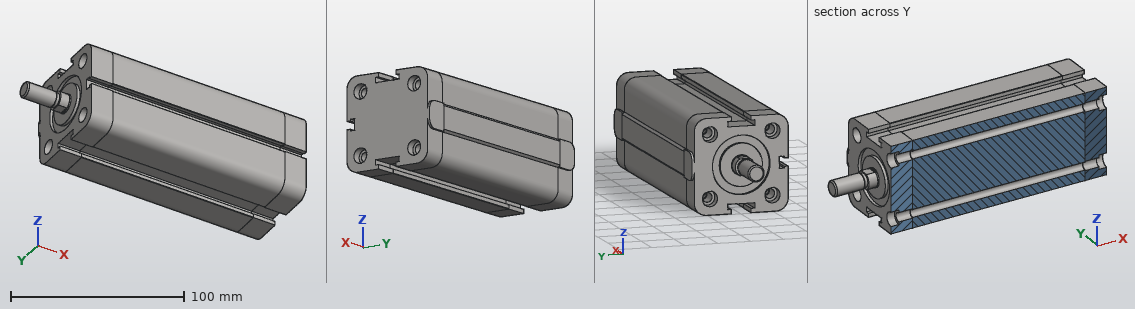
import cadquery as cq

TOTAL_LENGTH = 174.0
BODY_SIDE = 57.0
BODY_HEIGHT = 58.5
BODY_LENGTH = 145.6
CAP_LENGTH = 14.6
CORNER_RADIUS = 7.5

HALF_SIDE = BODY_SIDE / 2
BODY_FRONT = TOTAL_LENGTH - BODY_LENGTH
TUBE_FRONT = BODY_FRONT + CAP_LENGTH
TUBE_LENGTH = BODY_LENGTH - 2 * CAP_LENGTH
TUBE_BACK = TUBE_FRONT + TUBE_LENGTH

LARGE_OPENING = 12.0
LARGE_WIDTH = 16.4
LARGE_DEPTH = 5.7
LARGE_LIP = 2.6
SMALL_OPENING = 4.9
SMALL_WIDTH = 7.0
SMALL_DEPTH = 5.4
SMALL_LIP = 2.5
TUBE_WIDENING = 0.2
MOUTH_CHAMFER = 0.26

RAIL_HEIGHT = BODY_HEIGHT - BODY_SIDE
RAIL_WIDTH = 16.7
RAIL_CORNER = 5.2

BOLT_SPACING = 38.0
BOLT_HEAD_DIAMETER = 9.0
BOLT_HEAD_DEPTH = 5.2
CAP_HOLE_DIAMETER = 5.7
TUBE_HOLE_DIAMETER = 4.9

GROOVE_OUTER = 35.0
GROOVE_INNER = 25.5
GROOVE_DEPTH = 2.0

ROD_DIAMETER = 12.0
WRENCH_DIAMETER = 11.7
FLATS_ACROSS = 10.0
THREAD_DIAMETER = 10.0
NECK_DIAMETER = 8.9
THREAD_LENGTH = 19.5
NECK_LENGTH = 2.1
FLATS_END = 27.1
COLLAR_END = 27.5
TIP_CHAMFER = 0.9


def x_plane(x):
    """Plane across the cylinder at x: local x is Y, local y is Z, and the normal is +X."""
    return cq.Workplane("YZ", origin=(x, 0, 0))


def t_slot(x, length, opening, width, depth, lip):
    """T-slot cutter that opens through the +Z face."""
    mouth = x_plane(x).center(0, HALF_SIDE - depth / 2).rect(opening, depth).extrude(length)
    pocket_height = depth - lip
    pocket = x_plane(x).center(0, HALF_SIDE - depth + pocket_height / 2).rect(width, pocket_height)
    return mouth.union(pocket.extrude(length))


def mouth_chamfer(x, length, opening):
    """Cutter that breaks both outer edges of a slot mouth in the +Z face."""
    half_opening = opening / 2
    outline = x_plane(x).moveTo(-half_opening - MOUTH_CHAMFER, HALF_SIDE)
    outline = outline.lineTo(half_opening + MOUTH_CHAMFER, HALF_SIDE)
    outline = outline.lineTo(half_opening, HALF_SIDE - MOUTH_CHAMFER)
    outline = outline.lineTo(-half_opening, HALF_SIDE - MOUTH_CHAMFER)
    return outline.close().extrude(length)


def cut_slots(section, large, small):
    """Cut the large slot from the +Z and -Z faces and the small one from the -Y face."""
    for cutter, angle in ((large, 0), (large, 180), (small, 90)):
        section = section.cut(cutter.rotate((0, 0, 0), (1, 0, 0), angle))
    return section


def bolt_holes(x, length, diameter):
    """Four round cutters on the bolt square."""
    pattern = x_plane(x).rect(BOLT_SPACING, BOLT_SPACING, forConstruction=True).vertices()
    return pattern.circle(diameter / 2).extrude(length)


def body_section(x, length, hole_diameter, widening=0.0):
    """Length of the slotted square profile with its bolt holes."""
    section = x_plane(x).rect(BODY_SIDE, BODY_SIDE).extrude(length).edges("|X").fillet(CORNER_RADIUS)
    large = t_slot(x, length, LARGE_OPENING + widening, LARGE_WIDTH, LARGE_DEPTH, LARGE_LIP)
    small = t_slot(x, length, SMALL_OPENING + widening, SMALL_WIDTH, SMALL_DEPTH, SMALL_LIP)
    section = cut_slots(section, large, small)
    return section.cut(bolt_holes(x, length, hole_diameter))


def cap_rail(x, outer_side):
    """Cap's share of the rail, rounded in plan at the end named by the selector outer_side."""
    plate = cq.Workplane("XY").box(CAP_LENGTH, RAIL_HEIGHT, RAIL_WIDTH)
    plate = plate.faces(outer_side).edges("|Y").fillet(RAIL_CORNER)
    return plate.translate((x + CAP_LENGTH / 2, HALF_SIDE + RAIL_HEIGHT / 2, 0))


def tube_rail():
    """Tube's share of the rail, with sides that slope in at 45 degrees."""
    half_width = RAIL_WIDTH / 2
    outline = x_plane(TUBE_FRONT).moveTo(HALF_SIDE, -half_width)
    outline = outline.lineTo(HALF_SIDE + RAIL_HEIGHT, RAIL_HEIGHT - half_width)
    outline = outline.lineTo(HALF_SIDE + RAIL_HEIGHT, half_width - RAIL_HEIGHT)
    outline = outline.lineTo(HALF_SIDE, half_width)
    return outline.close().extrude(TUBE_LENGTH)


def rod_bore(x, length):
    return x_plane(x).circle(ROD_DIAMETER / 2).extrude(length)


def make_front_cap():
    cap = body_section(BODY_FRONT, CAP_LENGTH, CAP_HOLE_DIAMETER).union(cap_rail(BODY_FRONT, "<X"))
    cap = cap.cut(bolt_holes(BODY_FRONT, BOLT_HEAD_DEPTH, BOLT_HEAD_DIAMETER))
    groove = x_plane(BODY_FRONT).circle(GROOVE_OUTER / 2).circle(GROOVE_INNER / 2).extrude(GROOVE_DEPTH)
    return cap.cut(groove).cut(rod_bore(BODY_FRONT, CAP_LENGTH))


def make_tube():
    tube = body_section(TUBE_FRONT, TUBE_LENGTH, TUBE_HOLE_DIAMETER, TUBE_WIDENING)
    large = mouth_chamfer(TUBE_FRONT, TUBE_LENGTH, LARGE_OPENING + TUBE_WIDENING)
    small = mouth_chamfer(TUBE_FRONT, TUBE_LENGTH, SMALL_OPENING + TUBE_WIDENING)
    return cut_slots(tube, large, small).union(tube_rail())


def make_rear_cap():
    cap = body_section(TUBE_BACK, CAP_LENGTH, CAP_HOLE_DIAMETER).union(cap_rail(TUBE_BACK, ">X"))
    head_start = TOTAL_LENGTH - BOLT_HEAD_DEPTH
    return cap.cut(bolt_holes(head_start, BOLT_HEAD_DEPTH, BOLT_HEAD_DIAMETER))


def make_rod():
    """Threaded end, neck, wrench flats, collar and shaft; the shaft ends at the tube."""
    thread = x_plane(0).circle(THREAD_DIAMETER / 2).extrude(THREAD_LENGTH)
    thread = thread.faces("<X").chamfer(TIP_CHAMFER)
    neck = x_plane(THREAD_LENGTH).circle(NECK_DIAMETER / 2).extrude(NECK_LENGTH)
    wrench_start = THREAD_LENGTH + NECK_LENGTH
    flats_length = FLATS_END - wrench_start
    wrench = x_plane(wrench_start).circle(WRENCH_DIAMETER / 2).extrude(flats_length)
    between_flats = x_plane(wrench_start).rect(WRENCH_DIAMETER, FLATS_ACROSS).extrude(flats_length)
    wrench = wrench.intersect(between_flats)
    collar = x_plane(FLATS_END).circle(WRENCH_DIAMETER / 2).extrude(COLLAR_END - FLATS_END)
    shaft = x_plane(COLLAR_END).circle(ROD_DIAMETER / 2).extrude(TUBE_FRONT - COLLAR_END)
    return thread.union(neck).union(wrench).union(collar).union(shaft)


front_cap = make_front_cap()
tube = make_tube()
rear_cap = make_rear_cap()
rod = make_rod()

result = cq.Compound.makeCompound([front_cap.val(), tube.val(), rear_cap.val(), rod.val()])